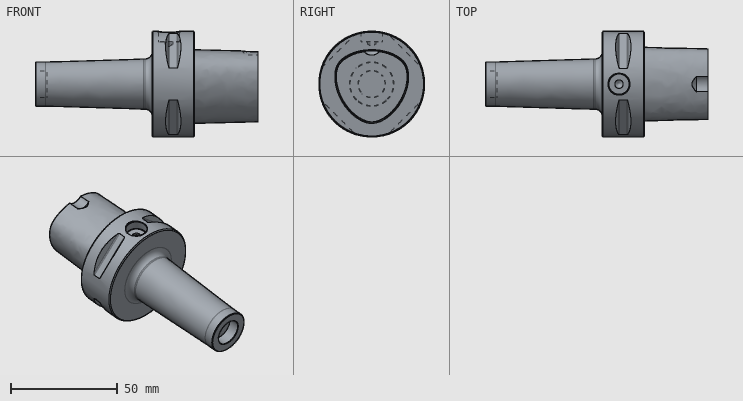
import cadquery as cq
import math

total_length = 105.0

nose_diameter = 21.0
nose_root_diameter = 23.8
nose_straight_length = 4.8
nose_taper_end = 51.0
nose_chamfer = 0.3
root_fillet = 3.3
bore_diameter = 12.5
bore_depth = 5.6
bore_chamfer = 0.2

flange_diameter = 50.0
flange_start = 55.0
flange_length = 20.0
flange_chamfer = 0.5
flange_radius = flange_diameter / 2
flange_end = flange_start + flange_length

shank_length = total_length - flange_end
shank_start_radius = 17.4
shank_taper_ratio = 1 / 20
shank_end_radius = shank_start_radius - shank_length * shank_taper_ratio / 2
lobe_height = 1.2
lobe_direction = math.radians(-90)
lobe_points = 48

groove_angles = (45, 135, 225, 315)
groove_center = 65.0
groove_floor_width = 4.0
groove_floor_distance = 22.2
groove_wall_angle = 30
groove_corner_radius = 0.5

pocket_center = 63.0
pocket_diameter = 10.0
pocket_depth = 5.0
pocket_chamfer = 0.2
pilot_diameter = 4.0
pilot_depth = 1.0
pilot_point_angle = 118

notch_diameter = 9.0
notch_length = 5.6
notch_axis_rise = 2.6
notch_axis_height = shank_end_radius - lobe_height + notch_axis_rise
notch_point_angle = 90


def tip_length(diameter, point_angle):
    """Length of a drill point with the given full angle."""
    return diameter / 2 / math.tan(math.radians(point_angle / 2))


def make_turned_body():
    """Nose and flange revolved about X."""
    nose_radius = nose_diameter / 2
    root_radius = nose_root_diameter / 2
    fillet_start = flange_start - root_fillet
    fillet_rise = root_fillet * (1 - math.cos(math.radians(45)))
    return (
        cq.Workplane("XY")
        .moveTo(0, 0)
        .lineTo(0, nose_radius - nose_chamfer)
        .lineTo(nose_chamfer, nose_radius)
        .lineTo(nose_straight_length, nose_radius)
        .lineTo(nose_taper_end, root_radius)
        .lineTo(fillet_start, root_radius)
        .threePointArc(
            (flange_start - fillet_rise, root_radius + fillet_rise),
            (flange_start, root_radius + root_fillet),
        )
        .lineTo(flange_start, flange_radius - flange_chamfer)
        .lineTo(flange_start + flange_chamfer, flange_radius)
        .lineTo(flange_end - flange_chamfer, flange_radius)
        .lineTo(flange_end, flange_radius - flange_chamfer)
        .lineTo(flange_end, 0)
        .close()
        .revolve(360, (0, 0, 0), (1, 0, 0))
    )


def lobed_points(mean_radius):
    """Constant-width curve in (Y, Z) whose tangents lie at R + e*cos(3a) from the axis."""
    points = []
    for index in range(lobe_points):
        angle = 2 * math.pi * index / lobe_points
        normal = lobe_direction + angle
        distance = mean_radius + lobe_height * math.cos(3 * angle)
        slope = -3 * lobe_height * math.sin(3 * angle)
        y = distance * math.cos(normal) - slope * math.sin(normal)
        z = distance * math.sin(normal) + slope * math.cos(normal)
        points.append((y, z))
    return points


def make_shank():
    return (
        cq.Workplane("YZ", origin=(flange_end, 0, 0))
        .spline(lobed_points(shank_start_radius), periodic=True)
        .close()
        .workplane(offset=shank_length)
        .spline(lobed_points(shank_end_radius), periodic=True)
        .close()
        .loft(ruled=True, combine=True)
    )


def make_bore():
    bore_radius = bore_diameter / 2
    return (
        cq.Workplane("XY")
        .moveTo(0, 0)
        .lineTo(0, bore_radius + bore_chamfer)
        .lineTo(bore_chamfer, bore_radius)
        .lineTo(bore_depth, bore_radius)
        .lineTo(bore_depth, 0)
        .close()
        .revolve(360, (0, 0, 0), (1, 0, 0))
    )


def make_groove(angle):
    """Straight trapezoidal cutter across the flange, turned about the tool axis."""
    depth = flange_radius - groove_floor_distance
    half_floor = groove_floor_width / 2
    half_mouth = half_floor + depth * math.tan(math.radians(groove_wall_angle))
    return (
        cq.Workplane("XZ")
        .moveTo(groove_center - half_floor, groove_floor_distance)
        .lineTo(groove_center + half_floor, groove_floor_distance)
        .lineTo(groove_center + half_mouth, flange_radius)
        .lineTo(groove_center - half_mouth, flange_radius)
        .close()
        .extrude(flange_radius, both=True)
        .faces("<Z")
        .edges("|Y")
        .fillet(groove_corner_radius)
        .rotate((0, 0, 0), (1, 0, 0), angle)
    )


def make_pocket():
    """Flat-bottomed pocket with a pointed pilot hole, revolved about its vertical axis."""
    pocket_radius = pocket_diameter / 2
    pilot_radius = pilot_diameter / 2
    floor = flange_radius - pocket_depth
    pilot_end = floor - pilot_depth
    rim = math.sqrt(flange_radius**2 - pocket_radius**2)
    return (
        cq.Workplane("XZ", origin=(pocket_center, 0, 0))
        .moveTo(0, flange_radius)
        .lineTo(pocket_radius + pocket_chamfer, flange_radius)
        .lineTo(pocket_radius + pocket_chamfer, rim)
        .lineTo(pocket_radius, rim - pocket_chamfer)
        .lineTo(pocket_radius, floor + pocket_chamfer)
        .lineTo(pocket_radius - pocket_chamfer, floor)
        .lineTo(pilot_radius, floor)
        .lineTo(pilot_radius, pilot_end)
        .lineTo(0, pilot_end - tip_length(pilot_diameter, pilot_point_angle))
        .close()
        .revolve(360, (0, 0, 0), (0, 1, 0))
    )


def make_notch():
    """Drill shape parallel to X, entering from the shank end."""
    radius = notch_diameter / 2
    shoulder = total_length - notch_length
    return (
        cq.Workplane("XZ", origin=(0, 0, notch_axis_height))
        .moveTo(total_length, 0)
        .lineTo(total_length, radius)
        .lineTo(shoulder, radius)
        .lineTo(shoulder - tip_length(notch_diameter, notch_point_angle), 0)
        .close()
        .revolve(360, (0, 0, 0), (1, 0, 0))
    )


result = make_turned_body().union(make_shank())
result = result.cut(make_bore()).cut(make_pocket()).cut(make_notch())
for groove_angle in groove_angles:
    result = result.cut(make_groove(groove_angle))